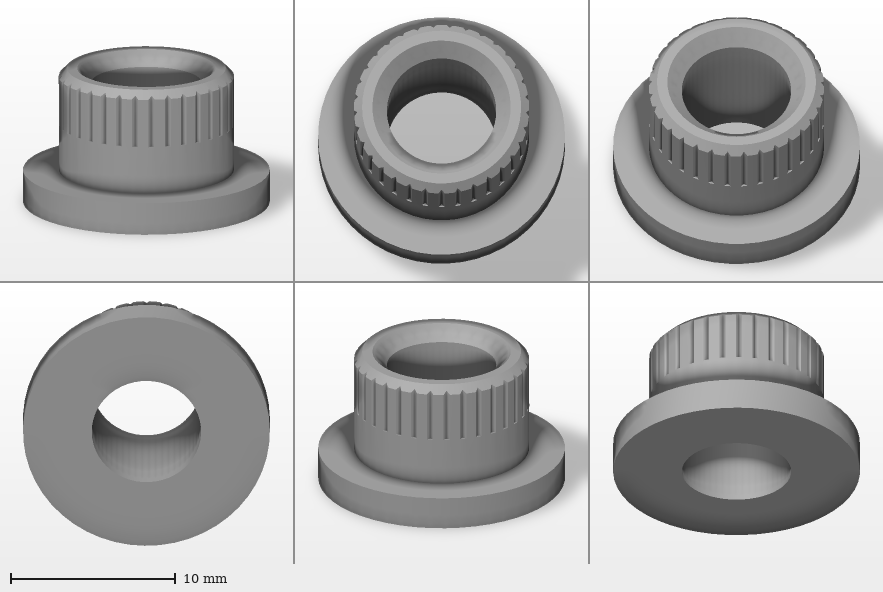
import cadquery as cq
import math

flange_diameter = 15.0
flange_thickness = 2.0
total_height = 8.4
barrel_diameter = 10.65
barrel_chamfer = 0.5
bore_diameter = 6.65
countersink_diameter = 8.4
countersink_angle = 90.0
knurl_height = 3.5
groove_count = 33
groove_depth = 0.2
groove_angle = 90.0

barrel_radius = barrel_diameter / 2
knurl_bottom = total_height - knurl_height
groove_step = 360.0 / groove_count


def make_body():
    """Round flange with a chamfered barrel standing on it."""
    flange = cq.Workplane("XY").circle(flange_diameter / 2).extrude(flange_thickness)
    barrel = cq.Workplane("XY").circle(barrel_radius).extrude(total_height)
    barrel = barrel.faces(">Z").edges().chamfer(barrel_chamfer)
    return flange.union(barrel)


def cut_bore(body):
    """Through bore, countersunk at the barrel end."""
    return body.faces(">Z").workplane().cskHole(bore_diameter, countersink_diameter, countersink_angle)


def make_groove_cutter():
    """Upright V-shaped prism on the +Y side, with its tip pointing at the axis."""
    tip_radius = barrel_radius - groove_depth
    cutter_depth = 2 * groove_depth
    half_width = cutter_depth * math.tan(math.radians(groove_angle / 2))
    outer_radius = tip_radius + cutter_depth
    return (
        cq.Workplane("XY")
        .workplane(offset=knurl_bottom)
        .polyline([(0, tip_radius), (half_width, outer_radius), (-half_width, outer_radius)])
        .close()
        .extrude(knurl_height)
    )


def cut_knurl(body):
    """Evenly spaced straight grooves around the upper barrel."""
    groove = make_groove_cutter()
    for index in range(groove_count):
        body = body.cut(groove.rotate((0, 0, 0), (0, 0, 1), index * groove_step))
    return body


result = cut_knurl(cut_bore(make_body()))